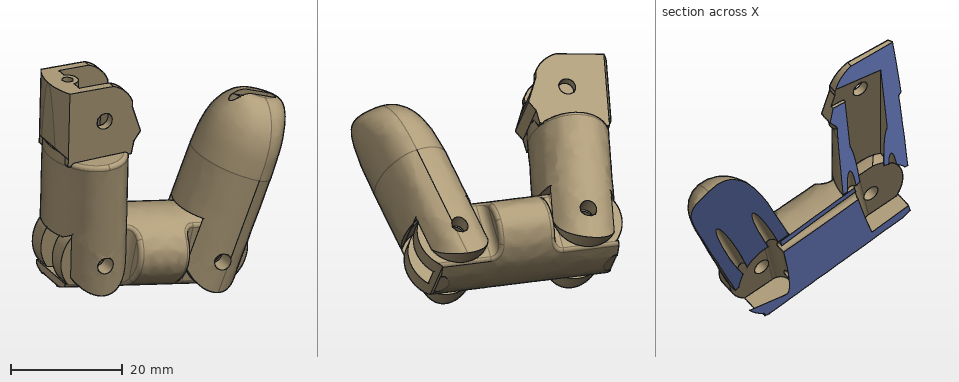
import cadquery as cq
import math


REACH = 14.85

HALF_WIDTH = 9.5
HALF_DEPTH = 7.0

PIN_HOLE_D = 3.05
TONGUE_HALF_WIDTH = 5.5
CLEVIS_HALF_GAP = 6.0
CHEEK_R = 5.95
CLEVIS_R = 7.75
CLEVIS_BACK_Z = 4.75
STOP_GAP = 0.15

TENDON_D = 2.0
BACK_TENDON_Y = -3.6

PROXIMAL_LEAN = 6.0
MIDDLE_LEAN = 106.4
DISTAL_LEAN = 26.8
SIDE_TILT = 8.5

HINGE_SPACING = 24.3
SHOULDER_OFFSET = 6.85
SHOULDER_FILLET = 0.8
ROOT_FILLET = 1.6
GROOVE_HALF_WIDTH = 2.2
GROOVE_SETBACK = 1.5
MIDDLE_PALM_TENDON_Y = 4.95
SHELF_TOP_Y = -5.15
PROXIMAL_SHELF_REACH = 5.2
DISTAL_SHELF_REACH = 3.85
NOTCH_HALF_WIDTH = 2.75
NOTCH_LENGTH = 2.0
NOTCH_DEPTH = 0.5

PROXIMAL_AXIS_Y = 0.3
PROXIMAL_HALF_DEPTH = 7.15
PROXIMAL_SHOULDER_Z = 19.87
PROXIMAL_FILLET = 0.8
NECK_TOP_Z = 21.25

TANG_HALF_WIDTH = 5.55
TANG_WALL = 1.65
TANG_FOOT_Z = 19.3
TANG_TOP_Z = 33.95
TANG_TOP_DROP = 0.4
TANG_TOP_PALM_Y = 2.75
TANG_PALM_Y = 6.7
TANG_BACK_Y = -7.5
TANG_BACK_CORNER_Y = -6.1
FLARE_TOP = (-7.2, 21.95)
LIP_PEAK = (8.5, 23.5)
LIP_UNDERSIDE = (7.2, 21.75)
LIP_TOP_Z = 28.68
NOSE_MIDDLE = (5.35, 31.95)
NOSE_END_Z = 29.8
TANG_HOLE_Y = 1.15
TANG_HOLE_Z = 26.95

CAVITY_PALM_Y = 4.8
CAVITY_BACK_Y = -3.3
BRIDGE_Z = 26.35
BOSS_R = 1.95
BRIDGE_TENDON_Y = 5.45

SPLIT_Y = -1.2
DOME_STATIONS = [
    (16.3, 9.5, -7.0, 6.85),
    (19.8, 9.35, -7.0, 6.62),
    (23.75, 8.4, -7.0, 5.95),
    (26.7, 6.62, -6.85, 4.75),
    (28.68, 4.35, -6.25, 3.15),
    (29.45, 2.0, -4.2, 1.0),
]
DISTAL_PALM_TENDON_Y = 3.45
TIP_GROOVE_FLOOR_Z = 28.2


def box(x0, x1, y0, y1, z0, z1):
    return cq.Workplane("XY").box(x1 - x0, y1 - y0, z1 - z0, centered=False).translate((x0, y0, z0))


def centred_box(half_width, y0, y1, z0, z1):
    return box(-half_width, half_width, y0, y1, z0, z1)


def x_cylinder(radius, half_length, y=0.0, z=0.0):
    return cq.Workplane("YZ").center(y, z).circle(radius).extrude(half_length, both=True)


def z_cylinder(radius, y, z0, z1):
    return cq.Workplane("XY", origin=(0, y, z0)).circle(radius).extrude(z1 - z0)


def oval(z0, z1, y=0.0, half_depth=HALF_DEPTH):
    return cq.Workplane("XY", origin=(0, y, z0)).ellipse(HALF_WIDTH, half_depth).extrude(z1 - z0)


def pin_hole(y=0.0, z=0.0):
    return x_cylinder(PIN_HOLE_D / 2, REACH, y, z)


def lean(link, angle):
    return link.rotate((0, 0, 0), (1, 0, 0), -angle)


def half_turn(link):
    return link.rotate((0, 0, 0), (0, 0, 1), 180)


def cut_clevis(link, bend):
    """Round the two cheeks, open the gap for the bent middle link and drill the pin hole."""
    cheeks = x_cylinder(CHEEK_R, REACH).union(centred_box(REACH, -REACH, REACH, 0, 3 * REACH))
    gap = x_cylinder(CLEVIS_R, CLEVIS_HALF_GAP)
    gap = gap.union(centred_box(CLEVIS_HALF_GAP, -REACH, REACH, -REACH, 0))
    gap = gap.union(centred_box(CLEVIS_HALF_GAP, -REACH, 0, 0, CLEVIS_BACK_Z))
    stop = centred_box(CLEVIS_HALF_GAP, -REACH, HALF_DEPTH + STOP_GAP, 0, HINGE_SPACING)
    gap = gap.union(lean(half_turn(stop), bend))
    return link.intersect(cheeks).cut(gap).cut(pin_hole())



def middle_body():
    """Oval body that narrows to a tongue at both ends, with rounded shoulders."""
    low, high = SHOULDER_OFFSET, HINGE_SPACING - SHOULDER_OFFSET
    tongue = centred_box(TONGUE_HALF_WIDTH, -REACH, REACH, -REACH, HINGE_SPACING + REACH)
    plan = tongue.union(centred_box(REACH, -REACH, REACH, low, high))
    roots = cq.selectors.BoxSelector((-HALF_WIDTH, -REACH, low - 0.5), (HALF_WIDTH, REACH, high + 0.5))
    plan = plan.edges("|Y").edges(roots).fillet(ROOT_FILLET)
    body = oval(-REACH, HINGE_SPACING + REACH).intersect(plan)
    rim_x = TONGUE_HALF_WIDTH + ROOT_FILLET
    for z in (low, high):
        for x0, x1 in ((-REACH, -rim_x), (rim_x, REACH)):
            rim = cq.selectors.BoxSelector((x0, -REACH, z - 0.05), (x1, REACH, z + 0.05))
            body = body.edges(rim).fillet(SHOULDER_FILLET)
    return body


def knuckle_profile():
    """Round knuckles joined by the body depth, with a stop shelf along the back."""
    profile = centred_box(REACH, -HALF_DEPTH, HALF_DEPTH, 0, HINGE_SPACING)
    for hinge_z in (0, HINGE_SPACING):
        profile = profile.union(x_cylinder(HALF_DEPTH, REACH, z=hinge_z))
    shelf_end = HINGE_SPACING + DISTAL_SHELF_REACH
    shelf = centred_box(REACH, -HALF_DEPTH, SHELF_TOP_Y, -PROXIMAL_SHELF_REACH, shelf_end)
    return profile.union(shelf)


def tendon_groove(hinge_z, outward):
    """Round-bottomed groove across a knuckle, open towards its end of the link."""
    bottom_z = hinge_z - outward * GROOVE_SETBACK
    bottom = cq.Workplane("XZ", origin=(0, SHELF_TOP_Y, bottom_z)).circle(GROOVE_HALF_WIDTH).extrude(-REACH)
    z0, z1 = sorted((bottom_z, hinge_z + outward * REACH))
    return bottom.union(centred_box(GROOVE_HALF_WIDTH, SHELF_TOP_Y, REACH, z0, z1))


def shelf_notch(end_z, outward):
    """Wedge that bevels the underside of the shelf at its end."""
    return (
        cq.Workplane("YZ")
        .moveTo(-HALF_DEPTH, end_z - outward * NOTCH_LENGTH)
        .lineTo(-HALF_DEPTH + NOTCH_DEPTH, end_z)
        .lineTo(-HALF_DEPTH, end_z)
        .close()
        .extrude(NOTCH_HALF_WIDTH, both=True)
    )


def middle_link():
    link = middle_body().intersect(knuckle_profile())
    ends = ((0, -1, PROXIMAL_SHELF_REACH), (HINGE_SPACING, 1, DISTAL_SHELF_REACH))
    for hinge_z, outward, shelf_reach in ends:
        link = link.cut(tendon_groove(hinge_z, outward))
        link = link.cut(shelf_notch(hinge_z + outward * shelf_reach, outward))
        link = link.cut(pin_hole(z=hinge_z))
    for y in (MIDDLE_PALM_TENDON_Y, BACK_TENDON_Y):
        link = link.cut(z_cylinder(TENDON_D / 2, y, 0, HINGE_SPACING))
    return link



def tang():
    """Block with a curved back, a flared foot and a rounded palm edge."""
    plan = (
        cq.Workplane("XY")
        .moveTo(-TANG_HALF_WIDTH, REACH)
        .lineTo(-TANG_HALF_WIDTH, TANG_BACK_CORNER_Y)
        .threePointArc((0, TANG_BACK_Y), (TANG_HALF_WIDTH, TANG_BACK_CORNER_Y))
        .lineTo(TANG_HALF_WIDTH, REACH)
        .close()
        .extrude(3 * REACH)
    )
    flare_drop = TANG_BACK_CORNER_Y - FLARE_TOP[0]
    profile = (
        cq.Workplane("YZ")
        .moveTo(TANG_BACK_CORNER_Y, TANG_FOOT_Z)
        .lineTo(TANG_BACK_CORNER_Y, FLARE_TOP[1] - flare_drop)
        .lineTo(*FLARE_TOP)
        .lineTo(TANG_BACK_Y, TANG_TOP_Z)
        .lineTo(TANG_TOP_PALM_Y, TANG_TOP_Z - TANG_TOP_DROP)
        .threePointArc(NOSE_MIDDLE, (TANG_PALM_Y, NOSE_END_Z))
        .lineTo(TANG_PALM_Y, LIP_TOP_Z)
        .lineTo(*LIP_PEAK)
        .lineTo(*LIP_UNDERSIDE)
        .lineTo(TANG_PALM_Y, TANG_FOOT_Z)
        .close()
        .extrude(TANG_HALF_WIDTH, both=True)
    )
    return plan.intersect(profile)


def proximal_cavity():
    """Hollow between the tang walls, open above the bridge, less the two tendon bosses."""
    half_width = TANG_HALF_WIDTH - TANG_WALL
    cavity = centred_box(half_width, CAVITY_BACK_Y, CAVITY_PALM_Y, 0, BRIDGE_Z)
    cavity = cavity.union(centred_box(half_width, CAVITY_BACK_Y, REACH, BRIDGE_Z, 3 * REACH))
    cavity = cavity.cut(z_cylinder(BOSS_R, BACK_TENDON_Y, 0, 3 * REACH))
    return cavity.cut(z_cylinder(BOSS_R, BRIDGE_TENDON_Y, 0, BRIDGE_Z))


def proximal_link():
    body = oval(-CHEEK_R, PROXIMAL_SHOULDER_Z, PROXIMAL_AXIS_Y, PROXIMAL_HALF_DEPTH)
    body = body.faces(">Z").edges().fillet(PROXIMAL_FILLET)
    neck = oval(0, NECK_TOP_Z, PROXIMAL_AXIS_Y, PROXIMAL_HALF_DEPTH)
    neck = neck.intersect(centred_box(TANG_HALF_WIDTH, -REACH, REACH, 0, NECK_TOP_Z))
    link = body.union(neck).union(tang()).cut(proximal_cavity())
    for y in (BACK_TENDON_Y, BRIDGE_TENDON_Y):
        link = link.cut(z_cylinder(TENDON_D / 2, y, 0, 3 * REACH))
    link = link.cut(pin_hole(TANG_HOLE_Y, TANG_HOLE_Z))
    return cut_clevis(link, MIDDLE_LEAN - PROXIMAL_LEAN)



def distal_section(z, half_width, back, palm):
    """Outline of two half ellipses that share their widest line."""
    centre = cq.Vector(0, SPLIT_Y, z)
    axis = cq.Vector(0, 0, 1)
    halves = []
    for depth, side in ((palm - SPLIT_Y, 1), (SPLIT_Y - back, -1)):
        across = cq.Vector(side, 0, 0)
        along = cq.Vector(0, side, 0)
        if half_width >= depth:
            halves.append(cq.Edge.makeEllipse(half_width, depth, centre, axis, across, 0, 180))
        else:
            halves.append(cq.Edge.makeEllipse(depth, half_width, centre, axis, along, -90, 90))
    return cq.Wire.assembleEdges(halves)


def distal_link():
    dome_z, *base_size = DOME_STATIONS[0]
    base = distal_section(-CHEEK_R, *base_size)
    body = cq.Solid.extrudeLinear(base, [], cq.Vector(0, 0, dome_z + CHEEK_R))
    dome = cq.Solid.makeLoft([distal_section(*station) for station in DOME_STATIONS])
    link = cq.Workplane(body).union(cq.Workplane(dome))
    for y in (BACK_TENDON_Y, DISTAL_PALM_TENDON_Y):
        link = link.cut(z_cylinder(TENDON_D / 2, y, 0, 3 * REACH))
    tip_groove = centred_box(TENDON_D / 2, BACK_TENDON_Y, DISTAL_PALM_TENDON_Y, TIP_GROOVE_FLOOR_Z, 3 * REACH)
    return cut_clevis(link.cut(tip_groove), 180 - MIDDLE_LEAN + DISTAL_LEAN)



middle_angle = math.radians(MIDDLE_LEAN)
distal_hinge = (0, HINGE_SPACING * math.sin(middle_angle), HINGE_SPACING * math.cos(middle_angle))

proximal = lean(proximal_link(), PROXIMAL_LEAN)
middle = lean(half_turn(middle_link()), MIDDLE_LEAN)
distal = lean(half_turn(distal_link()), DISTAL_LEAN).translate(distal_hinge)

links = [link.rotate((0, 0, 0), (0, 1, 0), -SIDE_TILT) for link in (proximal, middle, distal)]
result = cq.Compound.makeCompound([link.val() for link in links])